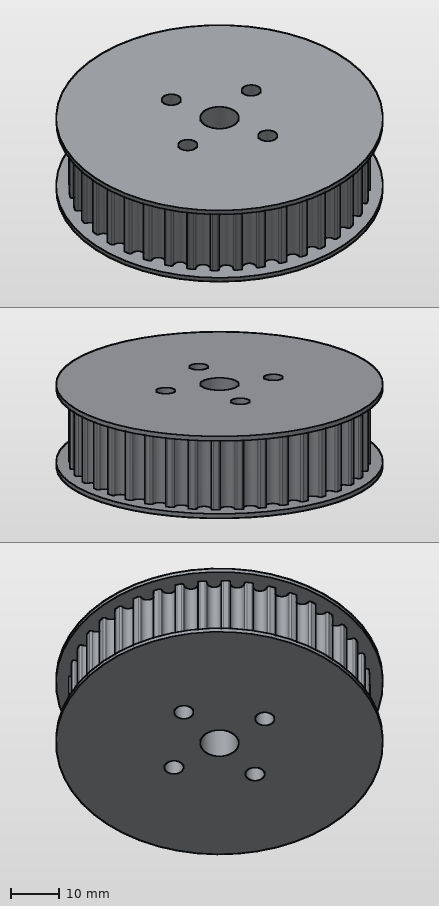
import cadquery as cq
import math

flange_diameter = 68.0
total_height = 18.0
flange_thickness = 1.0
toothed_height = total_height - 2 * flange_thickness

tooth_count = 40
toothed_diameter = 62.75
groove_depth = 2.05
groove_root_radius = 1.5
tooth_tip_radius = 0.42

bore_diameter = 8.0
bolt_hole_diameter = 4.0
bolt_circle_diameter = 24.0
bolt_hole_count = 4


def groove_outline():
    """Groove on the +X side: a round root joined tangentially to a rounded tip on each flank."""
    outer_radius = toothed_diameter / 2
    root_center_x = outer_radius - groove_depth + groove_root_radius
    root_bottom_x = outer_radius - groove_depth

    tip_center_radius = outer_radius - tooth_tip_radius
    center_distance = groove_root_radius + tooth_tip_radius
    cos_tip_angle = (
        tip_center_radius**2 + root_center_x**2 - center_distance**2
    ) / (2 * tip_center_radius * root_center_x)
    tip_angle = math.acos(cos_tip_angle)
    tip_center_x = tip_center_radius * math.cos(tip_angle)
    tip_center_y = tip_center_radius * math.sin(tip_angle)

    rim_x = outer_radius * math.cos(tip_angle)
    rim_y = outer_radius * math.sin(tip_angle)

    root_share = groove_root_radius / center_distance
    join_x = root_center_x + (tip_center_x - root_center_x) * root_share
    join_y = tip_center_y * root_share

    join_direction = math.atan2(join_y - tip_center_y, join_x - tip_center_x)
    middle_direction = (tip_angle + join_direction) / 2
    tip_middle_x = tip_center_x + tooth_tip_radius * math.cos(middle_direction)
    tip_middle_y = tip_center_y + tooth_tip_radius * math.sin(middle_direction)

    return (
        cq.Workplane("XY")
        .workplane(offset=-toothed_height / 2)
        .moveTo(rim_x, rim_y)
        .threePointArc((tip_middle_x, tip_middle_y), (join_x, join_y))
        .threePointArc((root_bottom_x, 0), (join_x, -join_y))
        .threePointArc((tip_middle_x, -tip_middle_y), (rim_x, -rim_y))
        .threePointArc((outer_radius, 0), (rim_x, rim_y))
        .close()
    )


def disc(diameter, height, bottom_z):
    return cq.Workplane("XY").workplane(offset=bottom_z).circle(diameter / 2).extrude(height)


def toothed_ring():
    """Plain drum with one groove cut per tooth pitch."""
    drum = disc(toothed_diameter, toothed_height, -toothed_height / 2)
    groove = groove_outline().extrude(toothed_height)
    pitch_angle = 360 / tooth_count
    grooves = [
        groove.rotate((0, 0, 0), (0, 0, 1), i * pitch_angle).val() for i in range(tooth_count)
    ]
    return drum.cut(cq.Workplane(cq.Compound.makeCompound(grooves)))


lower_flange = disc(flange_diameter, flange_thickness, -total_height / 2)
upper_flange = disc(flange_diameter, flange_thickness, toothed_height / 2)
pulley = toothed_ring().union(lower_flange).union(upper_flange)

holes = disc(bore_diameter, total_height, -total_height / 2).union(
    cq.Workplane("XY")
    .workplane(offset=-total_height / 2)
    .polarArray(bolt_circle_diameter / 2, 0, 360, bolt_hole_count)
    .circle(bolt_hole_diameter / 2)
    .extrude(total_height)
)

result = pulley.cut(holes)